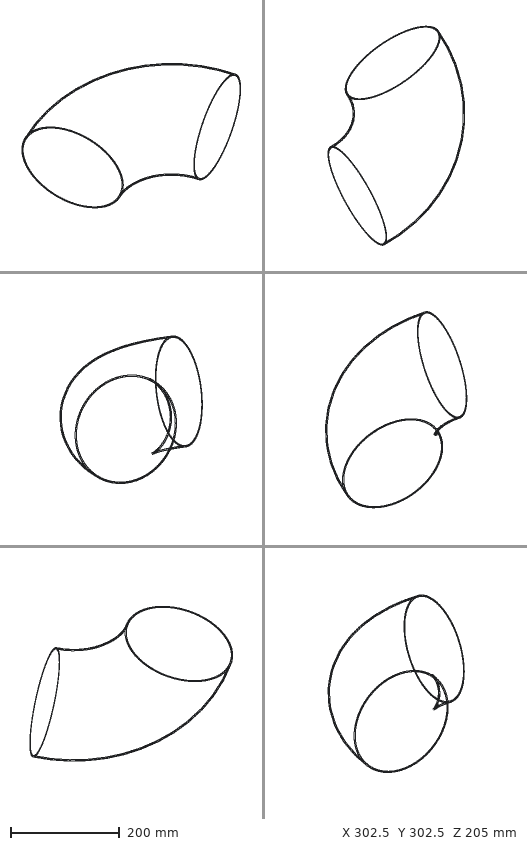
import cadquery as cq

outer_reach = 302.5
pipe_diameter = 205.0
wall = 2.5
bend_angle = 90.0

pipe_radius = pipe_diameter / 2
bore_radius = pipe_radius - wall
bend_radius = outer_reach - pipe_radius

pipe_section = (
    cq.Workplane("XZ")
    .center(-bend_radius, 0)
    .circle(pipe_radius)
    .circle(bore_radius)
)

axis_start = (bend_radius, 0)
axis_end = (bend_radius, -1)
result = pipe_section.revolve(bend_angle, axis_start, axis_end)